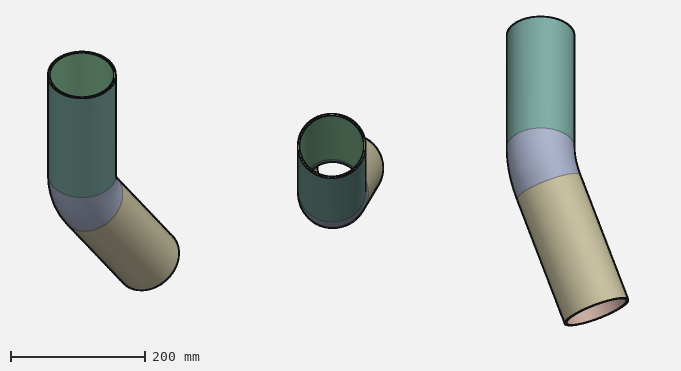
import cadquery as cq
import math

total_height = 468.0
outer_diameter = 101.5
inner_diameter = 95.5
leg_length = 2 * outer_diameter
bend_degrees = 30.0

outer_radius = outer_diameter / 2
bend = math.radians(bend_degrees)

leg_heights = leg_length * (1 + math.cos(bend))
bend_radius = (total_height - leg_heights) / math.sin(bend) - outer_radius


def bend_point(angle):
    """Centreline point (y, z) after turning by angle from the upper leg."""
    return (bend_radius * (1 - math.cos(angle)), -bend_radius * math.sin(angle))


bend_end = bend_point(bend)
lower_end = (
    bend_end[0] + leg_length * math.sin(bend),
    bend_end[1] - leg_length * math.cos(bend),
)
centreline = (
    cq.Workplane("YZ")
    .moveTo(0, leg_length)
    .lineTo(0, 0)
    .threePointArc(bend_point(bend / 2), bend_end)
    .lineTo(*lower_end)
)

result = (
    cq.Workplane("XY", origin=(0, 0, leg_length))
    .circle(outer_radius)
    .circle(inner_diameter / 2)
    .sweep(centreline)
)